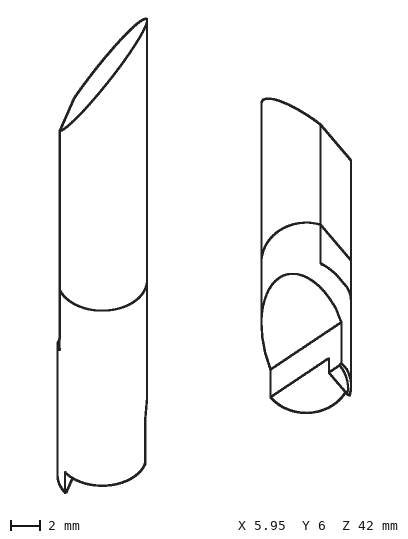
import cadquery as cq
import math

LENGTH = 42.0
DIAMETER = 6.0
RADIUS = DIAMETER / 2
JOINT_Z = 18.05

SLANT = math.tan(math.radians(60))
RAMP_START_Z = 6.05

LONG_FLAT_X = -2.48
NARROW_FLAT_X = -2.95
SHOULDER_Z = 12.5
SHOULDER_DROP = 0.45

END_FACE_Z = 2.05
TAB_INNER_X = -1.9
TAB_CHAMFER = 0.2


def cut_side_flats(rod):
    """Cut the long flat, the sloping shoulder and the narrow flat."""
    drop_slope = SHOULDER_DROP / (LONG_FLAT_X - NARROW_FLAT_X)
    outer_z = SHOULDER_Z - drop_slope * (LONG_FLAT_X + DIAMETER)
    long_flat = (
        cq.Workplane("XZ")
        .moveTo(LONG_FLAT_X, SHOULDER_Z)
        .lineTo(LONG_FLAT_X, LENGTH)
        .lineTo(-DIAMETER, LENGTH)
        .lineTo(-DIAMETER, outer_z)
        .close()
        .extrude(RADIUS, both=True)
    )
    narrow_flat = cq.Workplane("XY").box(
        DIAMETER, DIAMETER, LENGTH, centered=(True, True, False)
    ).translate((NARROW_FLAT_X - RADIUS, 0, 0))
    return rod.cut(long_flat).cut(narrow_flat)


def make_tip():
    """Upper rod with a slanted top rising to a point on the +X side."""
    tip = cq.Workplane("XY").workplane(offset=JOINT_Z).circle(RADIUS).extrude(LENGTH - JOINT_Z)
    slanted_top = (
        cq.Workplane("XZ")
        .moveTo(RADIUS, LENGTH)
        .lineTo(-RADIUS, LENGTH)
        .lineTo(-RADIUS, LENGTH - DIAMETER * SLANT)
        .close()
        .extrude(RADIUS, both=True)
    )
    return cut_side_flats(tip.cut(slanted_top))


def make_base():
    """Lower rod, cut to a half round by a ramp and ending in a narrow tab."""
    base = cq.Workplane("XY").circle(RADIUS).extrude(JOINT_Z).faces("<Z").chamfer(TAB_CHAMFER)
    half_round_cut = (
        cq.Workplane("YZ")
        .moveTo(0, 0)
        .lineTo(0, RAMP_START_Z)
        .lineTo(RADIUS, RAMP_START_Z + RADIUS * SLANT)
        .lineTo(RADIUS, 0)
        .close()
        .extrude(RADIUS, both=True)
    )
    beside_tab = cq.Workplane("XY").box(
        DIAMETER, DIAMETER, END_FACE_Z, centered=(False, True, False)
    ).translate((TAB_INNER_X, 0, 0))
    return cut_side_flats(base.cut(half_round_cut).cut(beside_tab))


tip = make_tip()
base = make_base()
result = cq.Compound.makeCompound([tip.val(), base.val()])